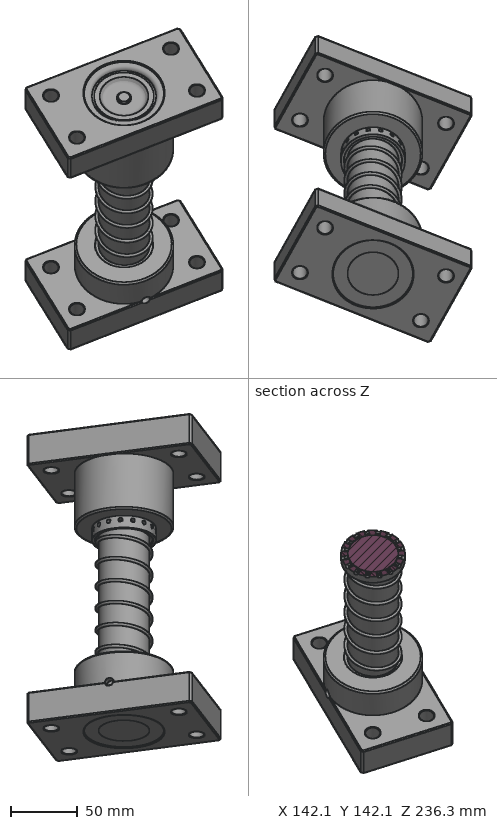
import cadquery as cq
import math

total_height = 236.3
plate_thickness = 25.0
lower_flange_height = 25.0
upper_flange_height = 45.0
sleeve_exposed = 9.7
upper_plate_base = total_height - plate_thickness
lower_flange_top = plate_thickness + lower_flange_height
upper_flange_base = upper_plate_base - upper_flange_height
sleeve_base = upper_flange_base - sleeve_exposed

plate_length = 129.3
plate_width = 75.0
plate_turn = 45.0
plate_corner = 1.7
plate_edge = 1.0
bolt_spacing_long = 100.0
bolt_spacing_short = 44.0
bolt_hole_dia = 11.0
bolt_hole_edge = 0.5
spigot_dia = 59.5
spigot_hole_edge = 0.7

flange_dia = 74.0
flange_edge = 1.5
spigot_setback = 1.0
bore_rounding = 3.0
dowel_hole_dia = 6.5
dowel_hole_depth = 6.0

pillar_dia = 38.0
wire_dia = 2.4
coil_radius = 20.3
spring_pitch = 18.0
active_turns = 6
closed_turns = 1
closed_pitch = 2.5
spring_start_angle = 190.0
closed_height = closed_pitch * closed_turns
closed_coil_sink = 0.2
active_base = lower_flange_top - closed_coil_sink
spring_base = active_base - closed_height
active_top = active_base + spring_pitch * active_turns
spring_top = active_top + closed_height
seat_clearance = 0.2
seat_dia = 2 * (coil_radius + seat_clearance) + wire_dia
seat_margin = 1.5

sleeve_dia = 48.0
sleeve_top = total_height - spigot_setback - bore_rounding
sleeve_hole_count = 16
sleeve_hole_dia = 3.0
sleeve_hole_drop = 3.3

cap_dia = 44.7
cap_thickness = 6.1
cap_base = sleeve_top - cap_thickness
dish_rim_radius = 18.2
dish_depth = 2.8
dish_slope = 2.1
dish_floor_radius = 13.5
dish_floor = sleeve_top - dish_depth
screw_dia = 10.6
screw_stand = 2.1
screw_edge = 1.0
screw_length = 19.0


def cylinder(diameter, base, top):
    """Upright cylinder on the Z axis between two heights."""
    return cq.Workplane("XY").workplane(offset=base).circle(diameter / 2).extrude(top - base)


def dowel_hole():
    """Horizontal cutter at right angles to the long plate side, on the lower plate face."""
    start = plate_width / 2 - dowel_hole_depth
    return (
        cq.Workplane("XZ", origin=(0, -start, plate_thickness))
        .circle(dowel_hole_dia / 2)
        .extrude(plate_width)
        .rotate((0, 0, 0), (0, 0, 1), plate_turn)
    )


def plate(base):
    """Chamfered rectangular plate with four bolt holes and the flange spigot hole."""
    block = (
        cq.Workplane("XY").workplane(offset=base)
        .rect(plate_length, plate_width).extrude(plate_thickness)
        .edges("|Z").chamfer(plate_corner)
        .faces("<Z or >Z").chamfer(plate_edge)
    )
    bolt_holes = (
        cq.Workplane("XY").workplane(offset=base)
        .rect(bolt_spacing_long, bolt_spacing_short, forConstruction=True).vertices()
        .circle(bolt_hole_dia / 2).extrude(plate_thickness)
    )
    block = block.cut(bolt_holes)
    block = block.faces("<Z or >Z").edges("%CIRCLE").chamfer(bolt_hole_edge)
    block = block.cut(cylinder(spigot_dia, base, base + plate_thickness))
    widest = cq.selectors.RadiusNthSelector(-1)
    block = block.faces("<Z or >Z").edges("%CIRCLE").edges(widest).chamfer(spigot_hole_edge)
    return block.rotate((0, 0, 0), (0, 0, 1), plate_turn)


def lower_flange():
    """Pillar socket with a spigot in the lower plate and a seat for the spring."""
    disc = cylinder(flange_dia, plate_thickness, lower_flange_top).faces(">Z").chamfer(flange_edge)
    body = disc.union(cylinder(spigot_dia, spigot_setback, plate_thickness))
    body = body.cut(cylinder(pillar_dia, spigot_setback, lower_flange_top))
    return body.cut(cylinder(seat_dia, spring_base - seat_margin, lower_flange_top))


def upper_flange():
    """Sleeve housing with a spigot in the upper plate and a rounded bore mouth."""
    spigot_top = total_height - spigot_setback
    disc = cylinder(flange_dia, upper_flange_base, upper_plate_base).faces("<Z").chamfer(flange_edge)
    body = disc.union(cylinder(spigot_dia, upper_plate_base, spigot_top))
    body = body.cut(cylinder(sleeve_dia, upper_flange_base, spigot_top))
    narrowest = cq.selectors.RadiusNthSelector(0)
    return body.faces(">Z").edges(narrowest).fillet(bore_rounding)


def sleeve():
    """Guide sleeve with a ring of radial holes, a spring seat below and a cap seat above."""
    body = cylinder(sleeve_dia, sleeve_base, sleeve_top)
    body = body.cut(cylinder(pillar_dia, sleeve_base, sleeve_top))
    body = body.cut(cylinder(seat_dia, sleeve_base, spring_top + seat_margin))
    body = body.cut(cylinder(cap_dia, cap_base, sleeve_top))
    step = 360 / sleeve_hole_count
    hole_height = upper_flange_base - sleeve_hole_drop
    radial_hole = (
        cq.Workplane("YZ").center(0, hole_height).circle(sleeve_hole_dia / 2).extrude(sleeve_dia)
    )
    for index in range(sleeve_hole_count):
        angle = (index + 0.5) * step
        body = body.cut(radial_hole.rotate((0, 0, 0), (0, 0, 1), angle))
    return body


def coil_point(turn):
    """Wire centre after a number of turns up a left-handed coil with closed ends."""
    lower_closed = min(turn, closed_turns)
    active = min(max(turn - closed_turns, 0), active_turns)
    upper_closed = max(turn - closed_turns - active_turns, 0)
    height = spring_base + closed_pitch * (lower_closed + upper_closed) + spring_pitch * active
    angle = math.radians(spring_start_angle - 360 * turn)
    return cq.Vector(coil_radius * math.cos(angle), coil_radius * math.sin(angle), height)


def spring():
    """Coil spring of round wire with one closed coil at each end."""
    turns = active_turns + 2 * closed_turns
    points_per_turn = 16
    points = [coil_point(index / points_per_turn) for index in range(turns * points_per_turn + 1)]
    path = cq.Wire.assembleEdges([cq.Edge.makeSpline(points)])
    section = cq.Plane(origin=points[0], xDir=(0, 0, 1), normal=path.tangentAt(0))
    return cq.Workplane(section).circle(wire_dia / 2).sweep(path, isFrenet=True)


def cap():
    """Disc with a dished top: a 45 degree wall, then an arc into the flat floor."""
    wall_foot = (dish_rim_radius - dish_slope, sleeve_top - dish_slope)
    arc_width = wall_foot[0] - dish_floor_radius
    arc_drop = wall_foot[1] - dish_floor
    arc_radius = (arc_width ** 2 + arc_drop ** 2) / (2 * arc_drop)
    half_sweep = math.asin(arc_width / arc_radius) / 2
    arc_middle = (
        dish_floor_radius + arc_radius * math.sin(half_sweep),
        dish_floor + arc_radius * (1 - math.cos(half_sweep)),
    )
    body = (
        cq.Workplane("XZ")
        .moveTo(0, cap_base)
        .lineTo(cap_dia / 2, cap_base)
        .lineTo(cap_dia / 2, sleeve_top)
        .lineTo(dish_rim_radius, sleeve_top)
        .lineTo(*wall_foot)
        .threePointArc(arc_middle, (dish_floor_radius, dish_floor))
        .lineTo(0, dish_floor)
        .close()
        .revolve(360, (0, 0, 0), (0, 1, 0))
    )
    return body.cut(cylinder(screw_dia, cap_base, sleeve_top))


def screw():
    """Chamfered screw on the axis, through the cap into the pillar."""
    top = dish_floor + screw_stand
    return cylinder(screw_dia, top - screw_length, top).faces(">Z").chamfer(screw_edge)


axis_screw = screw()
retaining_cap = cap()
pillar = cylinder(pillar_dia, spigot_setback, cap_base).cut(axis_screw)
lower_plate = plate(0).cut(dowel_hole())
upper_plate = plate(upper_plate_base)
socket = lower_flange().cut(dowel_hole())
housing = upper_flange()
guide_sleeve = sleeve()
coil_spring = spring()

result = cq.Compound.makeCompound([
    lower_plate.val(),
    upper_plate.val(),
    socket.val(),
    housing.val(),
    pillar.val(),
    guide_sleeve.val(),
    coil_spring.val(),
    retaining_cap.val(),
    axis_screw.val(),
])